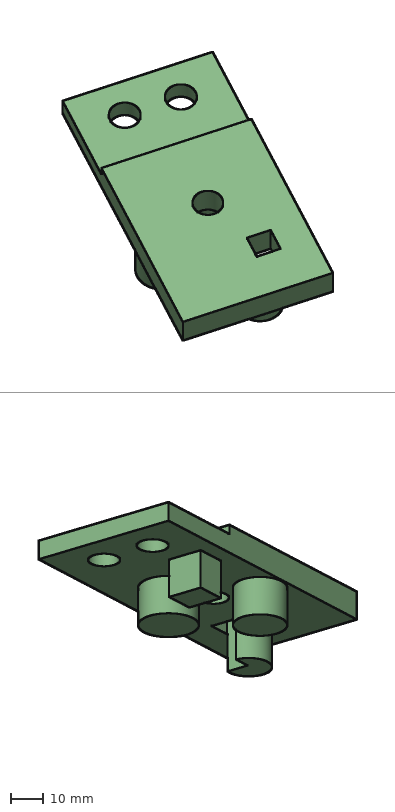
import cadquery as cq

plate_length = 97.8
plate_width = 50.8
plate_thickness = 9.5
ledge_length = 31.6
ledge_thickness = 6.4

post_height = 12.7
round_posts = [
    (42.3, 31.9, 19.0),
    (59.5, 9.0, 17.0),
    (83.9, 31.9, 14.7),
]

block_x = 24.6
block_y = 6.0
block_length = 10.5
block_width = 12.3

ledge_hole_diameter = 10.0
ledge_hole_x = 12.7
ledge_hole_y = 15.7
ledge_hole_spacing = 19.0
center_hole_diameter = 9.6
center_hole_x = 57.1
square_hole_side = 8.0
square_hole_x = 78.6
square_hole_y = 35.3


def stepped_plate():
    """Side profile of the plate, extruded across its width."""
    return (
        cq.Workplane("XZ")
        .polyline([
            (0, 0),
            (plate_length, 0),
            (plate_length, plate_thickness),
            (ledge_length, plate_thickness),
            (ledge_length, ledge_thickness),
            (0, ledge_thickness),
        ])
        .close()
        .extrude(-plate_width)
    )


def round_post(x, y, diameter):
    """Cylinder reaching down from the underside of the plate."""
    return cq.Workplane("XY").center(x, y).circle(diameter / 2).extrude(-post_height)


def block_post():
    """Rectangular post reaching down from the underside of the plate."""
    return (
        cq.Workplane("XY")
        .center(block_x, block_y)
        .rect(block_length, block_width, centered=False)
        .extrude(-post_height)
    )


def through_cutters():
    """Two ledge holes, the central hole and the square hole."""
    height = plate_thickness + post_height
    base = cq.Workplane("XY", origin=(0, 0, -post_height))
    ledge_centers = [
        (ledge_hole_x, ledge_hole_y),
        (ledge_hole_x, ledge_hole_y + ledge_hole_spacing),
    ]
    ledge_holes = base.pushPoints(ledge_centers).circle(ledge_hole_diameter / 2).extrude(height)
    center_hole = (
        base.center(center_hole_x, plate_width / 2)
        .circle(center_hole_diameter / 2)
        .extrude(height)
    )
    square_hole = (
        base.center(square_hole_x, square_hole_y)
        .rect(square_hole_side, square_hole_side)
        .extrude(height)
    )
    return [ledge_holes, center_hole, square_hole]


result = stepped_plate().union(block_post())
for x, y, diameter in round_posts:
    result = result.union(round_post(x, y, diameter))
for cutter in through_cutters():
    result = result.cut(cutter)